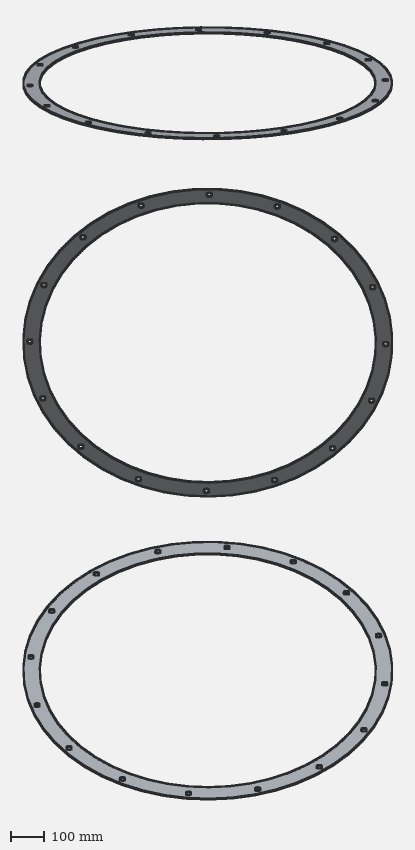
import cadquery as cq

outer_diameter = 1110.0
inner_diameter = 1010.0
thickness = 4.0
bolt_circle_diameter = 1070.0
bolt_hole_diameter = 15.0
bolt_count = 16

ring = (
    cq.Workplane("XY")
    .circle(outer_diameter / 2)
    .circle(inner_diameter / 2)
    .extrude(thickness)
)

bolt_holes = (
    cq.Workplane("XY")
    .polarArray(bolt_circle_diameter / 2, 0, 360, bolt_count)
    .circle(bolt_hole_diameter / 2)
    .extrude(thickness)
)

result = ring.cut(bolt_holes)